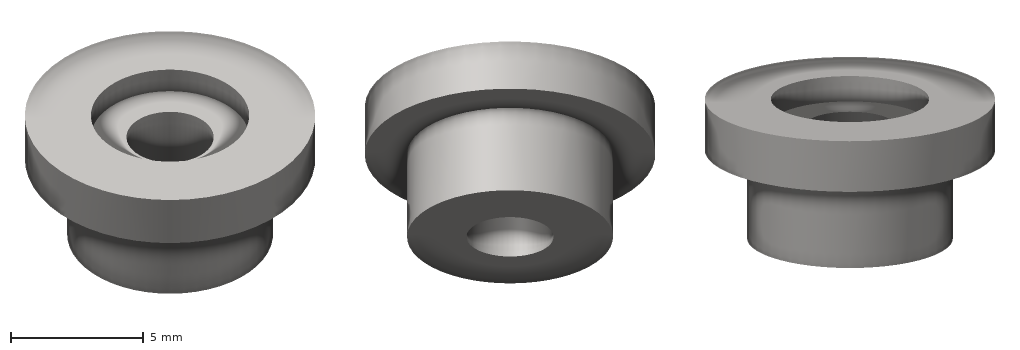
import cadquery as cq

flange_diameter = 11.0
flange_thickness = 2.0
total_height = 5.5
sleeve_diameter = 7.8
bore_diameter = 3.3
counterbore_diameter = 6.0
counterbore_depth = 1.0

sleeve_length = total_height - flange_thickness

sleeve = cq.Workplane("XY").circle(sleeve_diameter / 2).extrude(sleeve_length)
body = sleeve.faces(">Z").workplane().circle(flange_diameter / 2).extrude(flange_thickness)

result = body.faces(">Z").workplane().cboreHole(bore_diameter, counterbore_diameter, counterbore_depth)